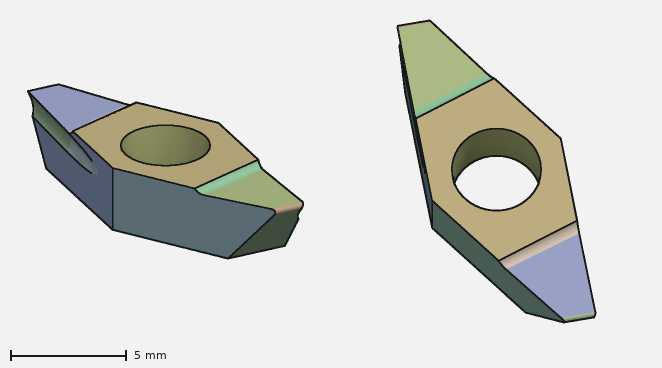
import cadquery as cq
import math

length = 15
width = 6
thickness = 3
side_angle = 35
corner_x = 0.93
flank_angle = 35
tip_radius = 0.15

hole_mouth_diameter = 3.85
hole_waist_diameter = 3.66

rake_angle = 3
rake_end_x = -3.48
rake_end_depth = 0.27
chip_wall_radius = 0.5
chip_wall_angle = 18.2

groove_width = 0.99
groove_depth = 0.16
groove_runout = 3.03
runout_sweep = 10

half_length = length / 2
half_width = width / 2
reach = length


def make_body():
    """Parallelogram prism trimmed by the two leaning end flanks."""
    side_run = width / math.tan(math.radians(side_angle))
    plan = [
        (-corner_x - side_run, -half_width),
        (corner_x, -half_width),
        (corner_x + side_run, half_width),
        (-corner_x, half_width),
    ]
    prism = cq.Workplane("XY").polyline(plan).close().extrude(thickness)

    flank = math.radians(flank_angle)
    rake = math.radians(rake_angle)
    tip_x = half_length - tip_radius
    rake_height = thickness - rake_end_depth + (tip_x + rake_end_x) * math.tan(rake)
    tip_z = rake_height - tip_radius / math.cos(rake)
    bottom_x = tip_x + (tip_radius - tip_z * math.sin(flank)) / math.cos(flank)
    top_x = bottom_x + thickness * math.tan(flank)
    side_profile = [(-bottom_x, 0), (bottom_x, 0), (top_x, thickness), (-top_x, thickness)]
    envelope = cq.Workplane("XZ").polyline(side_profile).close().extrude(half_width, both=True)
    return prism.intersect(envelope)


def make_hole():
    """Screw hole whose convex wall narrows to a waist at mid-thickness."""
    mouth = hole_mouth_diameter / 2
    waist = hole_waist_diameter / 2
    return (
        cq.Workplane("XZ")
        .lineTo(mouth, 0)
        .threePointArc((waist, thickness / 2), (mouth, thickness))
        .lineTo(0, thickness)
        .close()
        .revolve(360, (0, 0), (0, 1))
    )


def tilt_to_rake(cutter):
    """Tilt a cutter by the rake angle and move its origin to the inner end of the rake face."""
    tilted = cutter.rotate((0, 0, 0), (0, 1, 0), rake_angle)
    return tilted.translate((rake_end_x, -half_width, thickness - rake_end_depth))


def make_rake_cutter():
    """Space above the rake face, closed inward by the tangent round chip wall."""
    r = chip_wall_radius
    mid = r * math.sqrt(0.5)
    cutter = (
        cq.Workplane("XZ")
        .lineTo(-reach, 0)
        .lineTo(-reach, r)
        .lineTo(r, r)
        .threePointArc((mid, r - mid), (0, 0))
        .close()
        .extrude(reach, both=True)
        .rotate((0, 0, 0), (0, 0, 1), chip_wall_angle)
    )
    return tilt_to_rake(cutter)


def make_groove_cutter():
    """Round groove just under the cutting edge, with an arc run-out at its inner end."""
    r = ((groove_width / 2) ** 2 + groove_depth**2) / (2 * groove_depth)
    runout_radius = (groove_runout**2 + groove_depth**2) / (2 * groove_depth)
    center_y = groove_depth - r
    pivot_y = groove_depth - runout_radius

    section = cq.Sketch().circle(r)
    start = cq.Workplane("YZ").center(center_y, -groove_width / 2)
    straight = start.placeSketch(section).extrude(-reach)
    pivot = pivot_y - center_y
    runout = start.placeSketch(section).revolve(runout_sweep, (pivot, 0.15), (pivot, 0))
    return tilt_to_rake(straight.union(runout))


def both_ends(cutter):
    """The cutter and its half-turn copy about the hole axis."""
    return cutter.union(cutter.rotate((0, 0, 0), (0, 0, 1), 180))


body = make_body().cut(make_hole())
body = body.cut(both_ends(make_rake_cutter()))
for end in ("<X", ">X"):
    body = body.edges("|Y").edges(end).fillet(tip_radius)
result = body.cut(both_ends(make_groove_cutter()))